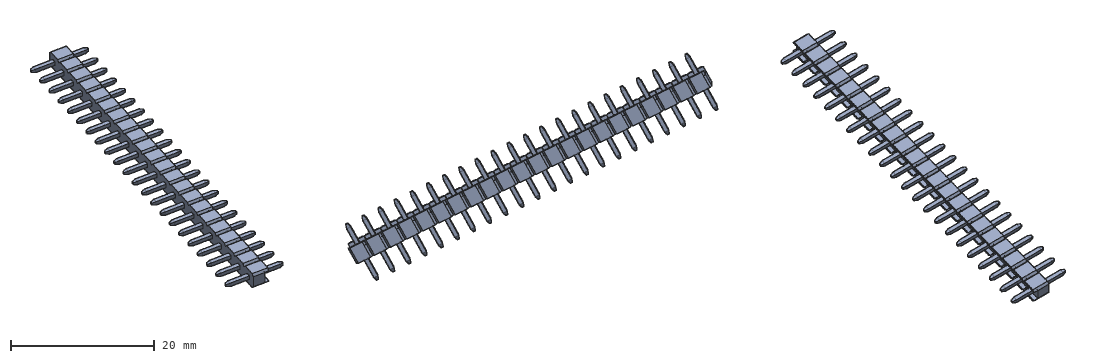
import cadquery as cq


pin_count = 22
row_length = 55.9
pitch = row_length / pin_count

housing_depth = pitch
housing_height = pitch
corner_width = 0.31
corner_drop = 0.365
channel_depth = 0.65
channel_height = 1.85

pin_length = 9.2
pin_side = pitch / 4
tip_side = 0.35
tip_length = 0.55
front_pin_length = 3.7
pin_offset = -0.1

pin_front = -pin_length / 2
pin_rear = pin_length / 2
housing_front = pin_front + front_pin_length
housing_rear = housing_front + housing_depth

cell_centres = [(index + 0.5) * pitch - row_length / 2 for index in range(pin_count)]


def make_cell():
    """One housing cell: an octagonal section extruded from front to rear."""
    half_width = pitch / 2
    half_height = housing_height / 2
    flat = half_width - corner_width
    shoulder = half_height - corner_drop
    section = [
        (-half_width, -shoulder),
        (-flat, -half_height),
        (flat, -half_height),
        (half_width, -shoulder),
        (half_width, shoulder),
        (flat, half_height),
        (-flat, half_height),
        (-half_width, shoulder),
    ]
    return (
        cq.Workplane("XZ", origin=(0, housing_front, 0))
        .polyline(section)
        .close()
        .extrude(-housing_depth)
    )


def make_channel():
    """Cutter for the channel that runs the full row along the rear face."""
    return (
        cq.Workplane("XY")
        .box(row_length, channel_depth, channel_height)
        .translate((0, housing_rear - channel_depth / 2, 0))
    )


def make_tip(end_y, direction):
    """Tapered pin tip ending at end_y and pointing along direction (+1 or -1)."""
    base_y = end_y - direction * tip_length
    return (
        cq.Workplane("XZ", origin=(0, base_y, 0))
        .rect(pin_side, pin_side)
        .workplane(offset=-direction * tip_length)
        .rect(tip_side, tip_side)
        .loft(ruled=True)
    )


def make_pin():
    """One square pin, tapered at both ends."""
    shank = cq.Workplane("XY").box(pin_side, pin_length - 2 * tip_length, pin_side)
    return shank.union(make_tip(pin_front, -1)).union(make_tip(pin_rear, 1))


def repeat_along_row(shape, shift=0):
    """Copy a shape to every cell, shifted along X from the cell centre, and join the copies."""
    solid = shape.val()
    places = [(centre + shift, 0) for centre in cell_centres]
    return (
        cq.Workplane("XY")
        .pushPoints(places)
        .eachpoint(lambda location: solid.moved(location), combine=True)
    )


housing = repeat_along_row(make_cell()).cut(make_channel())
pins = repeat_along_row(make_pin(), pin_offset)

result = housing.union(pins).clean()